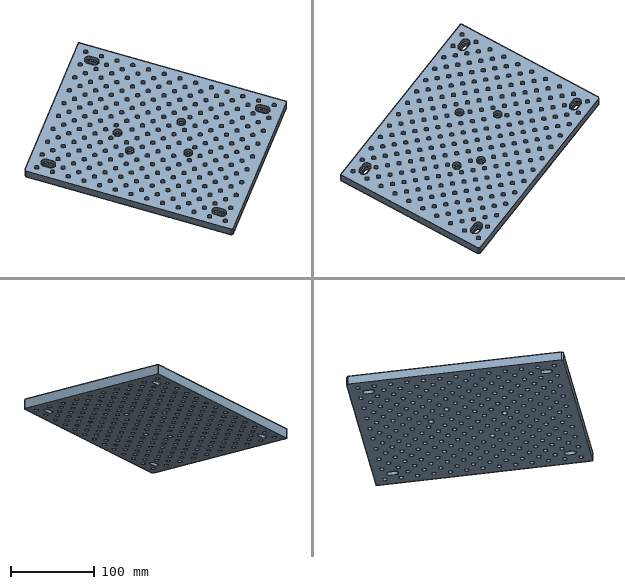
import cadquery as cq

length = 265.18
width = 199.31
thickness = 12.19
plate_offset_y = 0.25
front_chamfer = 1.9
back_chamfer = 0.5

grid_hole_diameter = 5.12
grid_pitch = 20.0
row_spacing = grid_pitch / 2
long_row_count = 10
long_row_holes = 13
row_count = 2 * long_row_count - 1

clearance_diameter = 6.5
counterbore_diameter = 10.5
counterbore_depth = 6.5

screw_points = [(22.5, 30.0), (-45.0, -10.0), (45.0, -10.0), (-22.5, -30.0)]

slot_x = 108.75
slot_y = 80.0
slot_travel = 7.5
slot_points = [(side_x * slot_x, side_y * slot_y) for side_x in (-1, 1) for side_y in (-1, 1)]


def is_blocked(x, y):
    """True where a grid hole would run into a screw hole or slot lying on the same row."""
    return any(
        abs(x - blocker_x) < grid_pitch / 2 and abs(y - blocker_y) < row_spacing / 2
        for blocker_x, blocker_y in screw_points + slot_points
    )


def grid_points():
    """Centres of the grid holes, leaving out the blocked places."""
    points = []
    for row in range(row_count):
        holes_in_row = long_row_holes - row % 2
        y = (row - (row_count - 1) / 2) * row_spacing
        for column in range(holes_in_row):
            x = (column - (holes_in_row - 1) / 2) * grid_pitch
            if not is_blocked(x, y):
                points.append((x, y))
    return points


def on_top(body, points):
    """Workplane on the top face with the given points, measured from the origin."""
    return body.faces(">Z").workplane(origin=(0, 0, 0)).pushPoints(points)


def make_plate():
    plate = cq.Workplane("XY").box(length, width, thickness, centered=(True, True, False))
    plate = plate.edges("|Z and <Y").chamfer(front_chamfer)
    plate = plate.edges("|Z and >Y").chamfer(back_chamfer)
    return plate.translate((0, plate_offset_y, 0))


def cut_grid_holes(body):
    return on_top(body, grid_points()).hole(grid_hole_diameter)


def cut_screw_holes(body):
    return on_top(body, screw_points).cboreHole(clearance_diameter, counterbore_diameter, counterbore_depth)


def cut_slots(body):
    through_length = slot_travel + clearance_diameter
    counterbore_length = slot_travel + counterbore_diameter
    body = on_top(body, slot_points).slot2D(through_length, clearance_diameter).cutThruAll()
    counterbores = on_top(body, slot_points).slot2D(counterbore_length, counterbore_diameter)
    return counterbores.cutBlind(-counterbore_depth)


plate = make_plate()
plate = cut_grid_holes(plate)
plate = cut_screw_holes(plate)
result = cut_slots(plate)